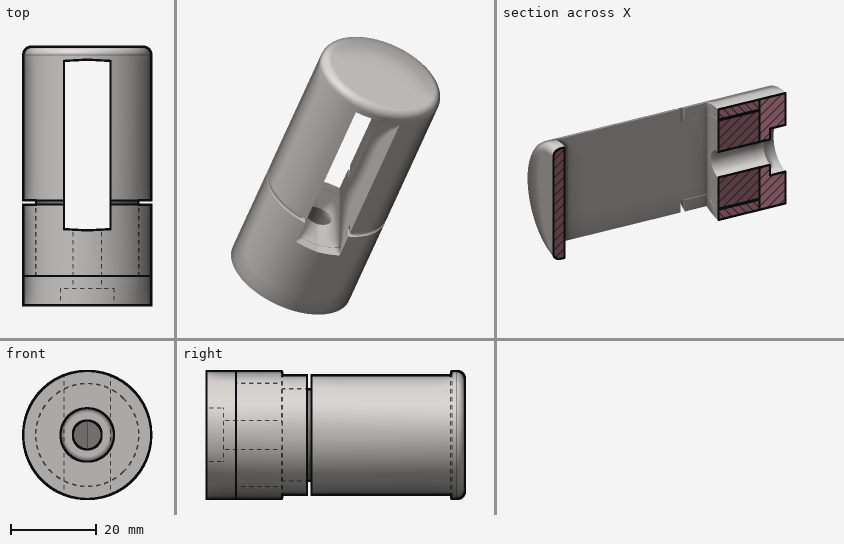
import cadquery as cq

outer_diameter = 30.0
total_length = 60.45
rear_fillet = 2.0

cap_length = 6.9
groove_front = 23.5
groove_width = 1.0
groove_rear = groove_front + groove_width

collar_bore_diameter = 24.2
neck_diameter = 24.0

counterbore_diameter = 12.5
counterbore_depth = 4.0
hole_diameter = 6.8

slot_width = 10.8
slot_front_tip = 17.55
slot_rear_tip = 57.35
slot_tip_depth = 0.3


def cylinder(diameter, start, end):
    """Solid cylinder on the Y axis between two Y positions."""
    plane = cq.Workplane("XZ", origin=(0, start, 0))
    return plane.circle(diameter / 2).extrude(start - end)


def slot_cutter():
    """Prism along Z whose ends are shallow V shapes pointing outward."""
    half_width = slot_width / 2
    front_corner = slot_front_tip + slot_tip_depth
    rear_corner = slot_rear_tip - slot_tip_depth
    outline = [
        (0, slot_front_tip),
        (half_width, front_corner),
        (half_width, rear_corner),
        (0, slot_rear_tip),
        (-half_width, rear_corner),
        (-half_width, front_corner),
    ]
    return cq.Workplane("XY").polyline(outline).close().extrude(outer_diameter / 2, both=True)


def make_cap():
    """Front disc with the counterbored hole."""
    disc = cylinder(outer_diameter, 0, cap_length)
    counterbore = cylinder(counterbore_diameter, 0, counterbore_depth)
    hole = cylinder(hole_diameter, 0, cap_length)
    return disc.cut(counterbore).cut(hole)


def make_collar():
    """Ring that sits around the neck, between the cap and the groove."""
    ring = cylinder(outer_diameter, cap_length, groove_front)
    bore = cylinder(collar_bore_diameter, cap_length, groove_front)
    return ring.cut(bore).cut(slot_cutter())


def make_barrel():
    """Rounded rear barrel with its neck; the axial hole opens into the slot."""
    body = cylinder(outer_diameter, groove_rear, total_length).faces(">Y").edges().fillet(rear_fillet)
    neck = cylinder(neck_diameter, cap_length, groove_rear)
    slot_middle = (slot_front_tip + slot_rear_tip) / 2
    hole = cylinder(hole_diameter, cap_length, slot_middle)
    return body.union(neck).cut(slot_cutter()).cut(hole)


cap = make_cap()
collar = make_collar()
barrel = make_barrel()

result = cq.Compound.makeCompound([cap.val(), collar.val(), barrel.val()])